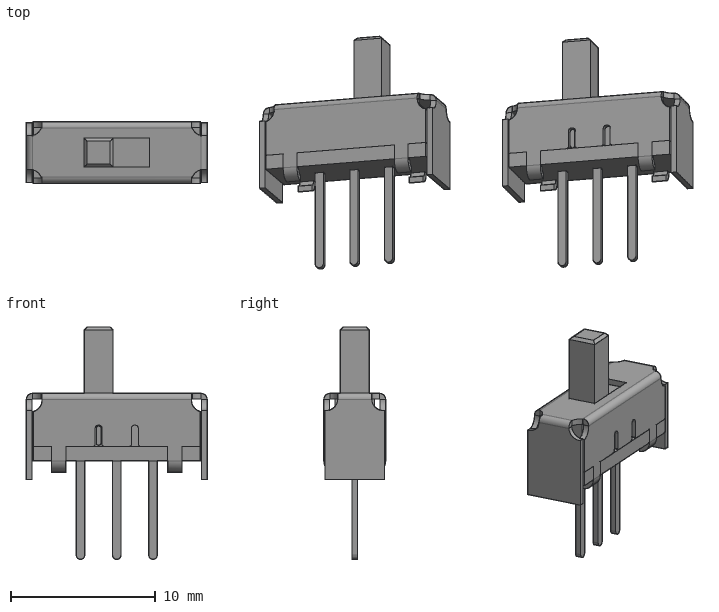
import cadquery as cq


OVERALL_HEIGHT = 16.05

SHEET = 0.4
BEND_RADIUS = 0.45
COVER_LENGTH = 12.5
COVER_DEPTH = 4.29
COVER_TOP = 4.67
SIDE_PANEL_LENGTH = 11.54
END_PLATE_WIDTH = 4.14
END_PLATE_BOTTOM = -1.3
RELIEF_RADIUS = 0.8
RELIEF_X = 5.97
RELIEF_Y = 1.97
SIDE_BEND_LENGTH = 2 * (RELIEF_X - RELIEF_RADIUS)
END_BEND_LENGTH = 2 * (RELIEF_Y - RELIEF_RADIUS)
SIDE_RELIEF_Z = COVER_TOP - 0.48
END_RELIEF_Z = COVER_TOP - 0.39
TAB_WIDTH = 1.0
TAB_X = 4.01
TAB_CURL_RADIUS = 0.8

BASE_HEIGHT = 1.0

TRAVEL = 2.5
SLIDER_X = -TRAVEL / 2
SLIDER_LENGTH = 7.06
SLIDER_WIDTH = 2.76
BUTTON_SIZE = 2.0
BUTTON_CHAMFER = 0.21
SLOT_LENGTH = BUTTON_SIZE + TRAVEL

WINDOW_WIDTH = 0.5
WINDOW_HEIGHT = 1.48
WINDOW_FLARE = 0.1
BUMP_WIDTH = 0.32
BUMP_HEIGHT = 1.33
BUMP_LIFT = 0.08
BUMP_RECESS = 0.18

PIN_WIDTH = 0.6
PIN_THICKNESS = 0.4
PIN_PITCH = 2.5
PIN_LENGTH = 6.8
PIN_CENTRES = [-PIN_PITCH, 0, PIN_PITCH]

SIDES = (-1, 1)
CORNERS = [(x_side, y_side) for x_side in SIDES for y_side in SIDES]

BUTTON_TOP = OVERALL_HEIGHT - PIN_LENGTH
FRONT = -COVER_DEPTH / 2
SLIDER_TOP = COVER_TOP - SHEET
BEND_BOTTOM = COVER_TOP - BEND_RADIUS
FLAT_TOP_LENGTH = COVER_LENGTH - 2 * BEND_RADIUS
FLAT_TOP_WIDTH = COVER_DEPTH - 2 * BEND_RADIUS
INNER_LENGTH = COVER_LENGTH - 2 * SHEET
INNER_DEPTH = COVER_DEPTH - 2 * SHEET


def box(x_size, y_size, bottom, top):
    """Box centred on the Z axis between two heights."""
    return cq.Workplane("XY", origin=(0, 0, bottom)).rect(x_size, y_size).extrude(top - bottom)


def bent_channel(x_size, y_size, x_gap, y_gap, bends, bottom):
    """Sheet with its two edges in the selected direction bent down to a bottom height."""
    outer = box(x_size, y_size, bottom, COVER_TOP)
    inner = box(x_gap, y_gap, bottom, COVER_TOP - SHEET)
    outer = outer.faces(">Z").edges(bends).fillet(BEND_RADIUS)
    inner = inner.faces(">Z").edges(bends).fillet(BEND_RADIUS - SHEET)
    return outer.cut(inner)


def relief(start, direction):
    """Round cutter at one cover corner, long enough to go through one sheet."""
    cutter = cq.Solid.makeCylinder(RELIEF_RADIUS, 2 * SHEET, cq.Vector(*start), cq.Vector(*direction))
    return cq.Workplane(cutter)


def tab(x_centre):
    """Front tab: straight down past the base, then curled a quarter turn inward."""
    curl_y = FRONT + TAB_CURL_RADIUS
    inner_radius = TAB_CURL_RADIUS - SHEET
    diagonal = 0.5 ** 0.5
    return (
        cq.Workplane("YZ", origin=(x_centre - TAB_WIDTH / 2, 0, 0))
        .moveTo(FRONT, BASE_HEIGHT)
        .lineTo(FRONT, 0)
        .threePointArc((curl_y - TAB_CURL_RADIUS * diagonal, -TAB_CURL_RADIUS * diagonal),
                       (curl_y, -TAB_CURL_RADIUS))
        .lineTo(curl_y, -inner_radius)
        .threePointArc((curl_y - inner_radius * diagonal, -inner_radius * diagonal),
                       (FRONT + SHEET, 0))
        .lineTo(FRONT + SHEET, BASE_HEIGHT)
        .close()
        .extrude(TAB_WIDTH)
    )


def detent_window(x_centre):
    """Round-topped window through the front panel, flared at its lower edge."""
    half = WINDOW_WIDTH / 2
    flared = half + WINDOW_FLARE
    shoulder = WINDOW_HEIGHT - half
    return (
        cq.Workplane("XZ", origin=(x_centre, FRONT + SHEET, BASE_HEIGHT))
        .moveTo(-flared, 0)
        .lineTo(flared, 0)
        .lineTo(half, WINDOW_FLARE)
        .lineTo(half, shoulder)
        .threePointArc((0, WINDOW_HEIGHT), (-half, shoulder))
        .lineTo(-half, WINDOW_FLARE)
        .close()
        .extrude(SHEET)
    )


def make_top_sheet():
    """Flat part of the top between the bends, rounded away at its corners."""
    sheet = box(FLAT_TOP_LENGTH, FLAT_TOP_WIDTH, SLIDER_TOP, COVER_TOP)
    for x_side, y_side in CORNERS:
        start = (x_side * RELIEF_X, y_side * RELIEF_Y, SLIDER_TOP)
        sheet = sheet.cut(relief(start, (0, 0, 1)))
    return sheet


def make_side_panel(y_side):
    """Front or back panel below its bend, rounded away at its upper corners."""
    panel = box(SIDE_PANEL_LENGTH, SHEET, BASE_HEIGHT, BEND_BOTTOM)
    panel = panel.translate((0, y_side * (COVER_DEPTH - SHEET) / 2, 0))
    for x_side in SIDES:
        start = (x_side * RELIEF_X, y_side * INNER_DEPTH / 2, SIDE_RELIEF_Z)
        panel = panel.cut(relief(start, (0, y_side, 0)))
    return panel


def make_end_plate(x_side):
    """End plate below its bend, rounded away at its upper corners."""
    plate = box(SHEET, END_PLATE_WIDTH, END_PLATE_BOTTOM, BEND_BOTTOM)
    plate = plate.translate((x_side * (COVER_LENGTH - SHEET) / 2, 0, 0))
    for y_side in SIDES:
        start = (x_side * INNER_LENGTH / 2, y_side * RELIEF_Y, END_RELIEF_Z)
        plate = plate.cut(relief(start, (x_side, 0, 0)))
    return plate


def make_cover():
    """Top sheet, side panels and end plates joined by bends, with tabs, windows and slot."""
    side_bends = bent_channel(SIDE_BEND_LENGTH, COVER_DEPTH, SIDE_BEND_LENGTH, INNER_DEPTH, "|X", BASE_HEIGHT)
    end_bends = bent_channel(COVER_LENGTH, END_BEND_LENGTH, INNER_LENGTH, END_BEND_LENGTH, "|Y", END_PLATE_BOTTOM)
    cover = make_top_sheet().union(side_bends).union(end_bends)
    for side in SIDES:
        cover = cover.union(make_side_panel(side)).union(make_end_plate(side))
        front_tab = tab(side * TAB_X)
        cover = cover.union(front_tab).union(front_tab.mirror("XZ"))
        cover = cover.cut(detent_window(side * TRAVEL / 2))
    return cover.cut(box(SLOT_LENGTH, BUTTON_SIZE, SLIDER_TOP, COVER_TOP))


def make_base():
    """Flat block with a notch for each tab and a hole for each pin."""
    base = box(SIDE_PANEL_LENGTH, COVER_DEPTH, 0, BASE_HEIGHT)
    notch = box(TAB_WIDTH, 2 * SHEET, 0, BASE_HEIGHT)
    for x_side, y_side in CORNERS:
        base = base.cut(notch.translate((x_side * TAB_X, y_side * COVER_DEPTH / 2, 0)))
    pin_hole = box(PIN_WIDTH, PIN_THICKNESS, 0, BASE_HEIGHT)
    for x_centre in PIN_CENTRES:
        base = base.cut(pin_hole.translate((x_centre, 0, 0)))
    return base


def make_slider():
    """Block with the button on top and the detent bump in front."""
    body = box(SLIDER_LENGTH, SLIDER_WIDTH, BASE_HEIGHT, SLIDER_TOP)
    button = box(BUTTON_SIZE, BUTTON_SIZE, SLIDER_TOP, BUTTON_TOP).faces(">Z").chamfer(BUTTON_CHAMFER)
    bump_face = FRONT + BUMP_RECESS
    bump = (
        cq.Workplane("XZ", origin=(0, bump_face, BASE_HEIGHT + BUMP_LIFT + BUMP_HEIGHT / 2))
        .slot2D(BUMP_HEIGHT, BUMP_WIDTH, 90)
        .extrude(bump_face + SLIDER_WIDTH / 2)
    )
    return body.union(button).union(bump).translate((SLIDER_X, 0, 0))


def make_pin(x_centre):
    """Flat pin through the base, with a full-round lower tip."""
    half = PIN_WIDTH / 2
    tip_centre = half - PIN_LENGTH
    return (
        cq.Workplane("XZ", origin=(x_centre, 0, 0))
        .moveTo(-half, BASE_HEIGHT)
        .lineTo(-half, tip_centre)
        .threePointArc((0, -PIN_LENGTH), (half, tip_centre))
        .lineTo(half, BASE_HEIGHT)
        .close()
        .extrude(PIN_THICKNESS / 2, both=True)
    )


cover = make_cover()
base = make_base()
slider = make_slider()
pins = [make_pin(x_centre) for x_centre in PIN_CENTRES]

result = cq.Compound.makeCompound([cover.val(), base.val(), slider.val(), *[pin.val() for pin in pins]])